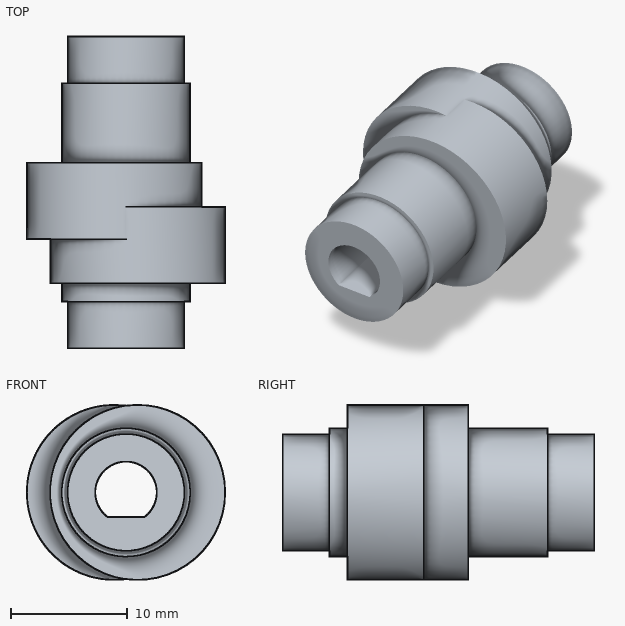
import cadquery as cq

total_length = 26.7
journal_length = 4.0
journal_diameter = 10.0
hub_diameter = 11.0

disc_diameter = 15.0
disc_width = 6.55
eccentricity = 1.0
near_disc_start = 5.55
far_disc_start = 9.35

bore_diameter = 5.25
bore_flat_height = -2.1


def disc(diameter, start, length, offset_x=0.0):
    """Cylinder parallel to Y, beginning at Y = start and centred on X = offset_x."""
    return (
        cq.Workplane("XZ", origin=(offset_x, start, 0))
        .circle(diameter / 2)
        .extrude(-length)
    )


def hub():
    journals = disc(journal_diameter, 0, total_length)
    middle = disc(hub_diameter, journal_length, total_length - 2 * journal_length)
    return journals.union(middle)


def eccentrics():
    near_disc = disc(disc_diameter, near_disc_start, disc_width, eccentricity)
    far_disc = disc(disc_diameter, far_disc_start, disc_width, -eccentricity)
    return near_disc.union(far_disc)


def d_bore():
    above_flat = (
        cq.Workplane("XY", origin=(0, total_length / 2, bore_flat_height))
        .box(bore_diameter, total_length, bore_diameter, centered=(True, True, False))
    )
    return disc(bore_diameter, 0, total_length).intersect(above_flat)


result = hub().union(eccentrics()).cut(d_bore())